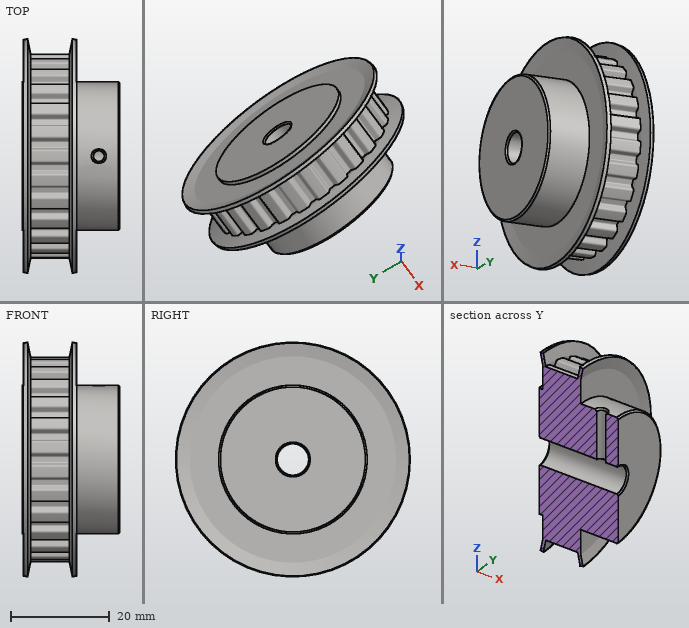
import cadquery as cq
import math


flange_radius = 23.8
hub_radius = 15.1
total_length = 19.85
bore_radius = 3.2
bore_chamfer = 0.35
hub_chamfer = 0.4

boss_height = 0.3
pulley_width = 10.75
belt_width = 7.9
bend_radius = 20.95
bend_angle = 11.5
sheet_thickness = 0.85

tooth_count = 26
tip_radius = 20.75
groove_depth = 1.35
groove_floor_width = 1.3
groove_flank_angle = 25.0
root_fillet = 0.35
tip_fillet = 0.5
cutter_overshoot = 0.5
match_tolerance = 0.005

screw_x = 15.55
screw_radius = 1.1
screw_mouth_radius = 1.52

belt_start = boss_height + (pulley_width - belt_width) / 2
belt_middle = boss_height + pulley_width / 2
root_radius = tip_radius - groove_depth


def cylinder(radius, start, length):
    """Cylinder along +X from x = start."""
    return cq.Workplane("YZ").workplane(offset=start).circle(radius).extrude(length)


def toothed_rim():
    """Toothed cylinder with one tooth centred on +Z."""
    rim = cylinder(tip_radius, belt_start, belt_width)
    cutter_depth = groove_depth + cutter_overshoot
    floor_half = groove_floor_width / 2
    mouth_half = floor_half + cutter_depth * math.tan(math.radians(groove_flank_angle))
    groove = (
        cq.Workplane("YZ")
        .workplane(offset=belt_start)
        .moveTo(-floor_half, root_radius)
        .lineTo(floor_half, root_radius)
        .lineTo(mouth_half, root_radius + cutter_depth)
        .lineTo(-mouth_half, root_radius + cutter_depth)
        .close()
        .extrude(belt_width)
        .edges("|X and <Z")
        .fillet(root_fillet)
    )
    pitch_angle = 360 / tooth_count
    for index in range(tooth_count):
        rim = rim.cut(groove.rotate((0, 0, 0), (1, 0, 0), (index + 0.5) * pitch_angle))

    def at_tip(edge):
        middle = edge.Center()
        return math.hypot(middle.y, middle.z) > tip_radius - match_tolerance

    tip_edges = [edge for edge in rim.edges("|X").vals() if at_tip(edge)]
    return rim.newObject(tip_edges).fillet(tip_fillet)


def flange():
    """Left flange; its rim is square to the bent sheet."""
    slope = math.radians(bend_angle)
    groove_side_x = boss_height + sheet_thickness * math.cos(slope)
    outer_radius = flange_radius - sheet_thickness * math.sin(slope)
    flat_x = boss_height + (outer_radius - bend_radius) * math.tan(slope)
    inner_bend_radius = flange_radius - (belt_start - groove_side_x) / math.tan(slope)
    return (
        cq.Workplane("XY")
        .moveTo(flat_x, 0)
        .lineTo(flat_x, bend_radius)
        .lineTo(boss_height, outer_radius)
        .lineTo(groove_side_x, flange_radius)
        .lineTo(belt_start, inner_bend_radius)
        .lineTo(belt_start, 0)
        .close()
        .revolve(360, (0, 0, 0), (1, 0, 0))
    )


def bore():
    """Through hole with a chamfer at both ends."""
    mouth_radius = bore_radius + bore_chamfer
    return (
        cq.Workplane("XY")
        .lineTo(0, mouth_radius)
        .lineTo(bore_chamfer, bore_radius)
        .lineTo(total_length - bore_chamfer, bore_radius)
        .lineTo(total_length, mouth_radius)
        .lineTo(total_length, 0)
        .close()
        .revolve(360, (0, 0, 0), (1, 0, 0))
    )


def screw_hole():
    """Countersunk radial hole from the bore out through the +Z side of the hub."""
    sink_depth = screw_mouth_radius - screw_radius
    return (
        cq.Workplane("XZ")
        .moveTo(screw_x, 0)
        .lineTo(screw_x + screw_radius, 0)
        .lineTo(screw_x + screw_radius, hub_radius - sink_depth)
        .lineTo(screw_x + screw_mouth_radius, hub_radius)
        .lineTo(screw_x, hub_radius)
        .close()
        .revolve(360, (screw_x, 0, 0), (screw_x, 1, 0))
    )


hub = cylinder(hub_radius, 0, total_length).faces(">X").chamfer(hub_chamfer)
left_flange = flange()
right_flange = left_flange.mirror("YZ", (belt_middle, 0, 0))

result = hub.union(toothed_rim()).union(left_flange).union(right_flange)
result = result.cut(bore()).cut(screw_hole())